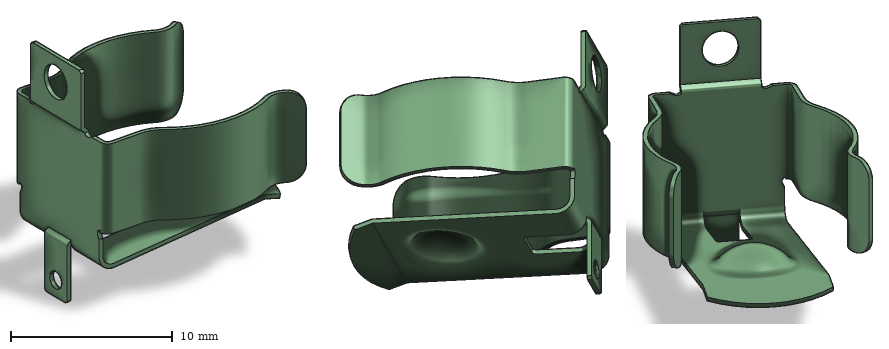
import cadquery as cq
import math


SHEET = 0.3
TINY = 1.68e-07

BAND_HEIGHT = 6.3
WALL_HALF_WIDTH = 4.1
SPRING_WIDTH = 8.0
SPRING_BEND_Z = -1.75

ARM_HALF_SPAN = 6.65
ARM_CORNER_RADIUS = 0.6
ARM_STRAIGHT = 2.18
ARM_FLARE_RADIUS = 2.22
ARM_GRIP_RADIUS = 7.07
ARM_MOUTH_RADIUS = 1.3
ARM_WAIST_ANGLE = 28.8
ARM_LIP_ANGLE = 30.0
ARM_LIP_LENGTH = 1.35
ARM_TIP_FILLET = 1.26

SPRING_BEND_RADIUS = 1.11
SPRING_RISE_ANGLE = 5.0
SPRING_LENGTH = 11.81
SPRING_LIP_BEND = 20.0
SPRING_LIP_LENGTH = 2.37
SPRING_TIP_SAGITTA = 1.18

DOME_Y = 9.45
DOME_RIM_RADIUS = 2.87
DOME_HEIGHT = 1.3
DOME_RIM_FILLET = 0.77

TAB_JOG_ANGLE = 45.0
TAB_CHAMFER = 0.17
TOP_TAB_WIDTH = 5.1
TOP_TAB_REACH = 4.4
TOP_TAB_HOLE = 2.32
TOP_TAB_HOLE_INSET = 1.8
SOLDER_TAB_WIDTH = 2.3
SOLDER_TAB_TIP_Z = -6.1
SOLDER_TAB_HOLE = 1.2
SOLDER_TAB_HOLE_INSET = 1.2

SLOT_END_Y = 4.08
SLOT_FILLET = 0.22

TOP_RELIEF_RADIUS = 0.3
TOP_RELIEF_OFFSET = 0.27
TOP_RELIEF_RUNOUT = 0.42
SIDE_RELIEF_RADIUS = 0.24
SIDE_RELIEF_OFFSET = 0.12
SIDE_RELIEF_RUNOUT = 0.42
RELIEF_DEPTH = 0.17


def straight(length):
    return ("straight", length, 0)


def bend(angle, radius):
    """Turn by angle degrees (left is positive); radius belongs to the sheet's right-hand face."""
    return ("bend", angle, radius)


def left_of(direction):
    return cq.Vector(-math.sin(direction), math.cos(direction))


def sheet_profile(plane, start, heading, runs):
    """Outline of a bent sheet whose right-hand face begins at start; the sheet lies to its left."""
    edges = []
    spot = cq.Vector(*start)
    turn = math.radians(heading)

    def add_edge(*points):
        if (points[-1] - points[0]).Length < TINY:
            return
        world = [plane.toWorldCoords(point) for point in points]
        make = cq.Edge.makeLine if len(world) == 2 else cq.Edge.makeThreePointArc
        edges.append(make(*world))

    add_edge(spot, spot + left_of(turn) * SHEET)
    for kind, amount, radius in runs:
        side = left_of(turn)
        if kind == "straight":
            step = cq.Vector(math.cos(turn), math.sin(turn)) * amount
            for offset in (0, SHEET):
                add_edge(spot + side * offset, spot + side * offset + step)
            spot = spot + step
        else:
            sweep = math.radians(amount)
            to_center = math.copysign(radius, sweep)
            center = spot + side * to_center
            for offset in (0, SHEET):
                arm = offset - to_center
                add_edge(*[center + left_of(turn + sweep * part) * arm for part in (0, 0.5, 1)])
            turn += sweep
            spot = center - left_of(turn) * to_center
    add_edge(spot, spot + left_of(turn) * SHEET)
    return cq.Workplane(plane).add(cq.Wire.assembleEdges(edges)).toPending()


def relief(edge_point, along, outward, radius, runout):
    """Round bend relief with a sloped run-out, through the wall.

    edge_point is beside the circle's center on the wall's edge, along points from there to the
    run-out, and outward leaves the wall.
    """
    edge_point = cq.Vector(*edge_point)
    along = cq.Vector(*along)
    outward = cq.Vector(*outward)
    rise = radius - RELIEF_DEPTH
    slope = math.asin(radius / math.hypot(runout, rise)) - math.atan2(rise, runout)
    center = edge_point + outward * rise
    tangent = center + along * (radius * math.sin(slope)) - outward * (radius * math.cos(slope))
    end = edge_point + along * runout
    plane = cq.Plane.XZ()
    circle = cq.Workplane(plane).center(center.x, center.y).circle(radius).extrude(-SHEET)
    slope_points = [(point.x, point.y) for point in (center, tangent, end)]
    return circle.union(cq.Workplane(plane).polyline(slope_points).close().extrude(-SHEET))


def make_wall():
    band = cq.Workplane("XY").box(2 * WALL_HALF_WIDTH, SHEET, BAND_HEIGHT, centered=(True, False, False))
    skirt = (
        cq.Workplane("XY", origin=(0, 0, SPRING_BEND_Z))
        .box(SPRING_WIDTH, SHEET, -SPRING_BEND_Z, centered=(True, False, False))
    )
    wall = band.union(skirt)
    for side in (-1, 1):
        top_x = side * (TOP_TAB_WIDTH / 2 + TOP_RELIEF_OFFSET)
        top_point = (top_x, BAND_HEIGHT)
        wall = wall.cut(relief(top_point, (side, 0), (0, 1), TOP_RELIEF_RADIUS, TOP_RELIEF_RUNOUT))
        side_point = (side * SPRING_WIDTH / 2, -SIDE_RELIEF_OFFSET)
        wall = wall.cut(relief(side_point, (0, -1), (side, 0), SIDE_RELIEF_RADIUS, SIDE_RELIEF_RUNOUT))
    return wall


def make_arm():
    """The +X arm, from the wall's corner bend to the flared lip."""
    swing = ARM_HALF_SPAN - WALL_HALF_WIDTH - ARM_CORNER_RADIUS
    flare_angle = math.degrees(math.acos(1 - swing / (ARM_FLARE_RADIUS + ARM_GRIP_RADIUS)))
    runs = [
        bend(90, ARM_CORNER_RADIUS),
        straight(ARM_STRAIGHT),
        bend(-flare_angle, ARM_FLARE_RADIUS),
        bend(flare_angle + ARM_WAIST_ANGLE, ARM_GRIP_RADIUS),
        bend(-ARM_WAIST_ANGLE - ARM_LIP_ANGLE, ARM_MOUTH_RADIUS),
        straight(ARM_LIP_LENGTH),
    ]
    arm = sheet_profile(cq.Plane.XY(), (WALL_HALF_WIDTH, 0), 0, runs).extrude(BAND_HEIGHT)
    return arm.faces(">Y").edges("#Z").fillet(ARM_TIP_FILLET)


def make_dome(origin, plane_normal):
    """Hollow stamped dome: a spherical cap blended into the spring's upper face."""
    cap_angle = 2 * math.atan(DOME_HEIGHT / DOME_RIM_RADIUS)
    cap_radius = DOME_RIM_RADIUS / math.sin(cap_angle) - DOME_RIM_FILLET
    runs = [
        bend(-math.degrees(cap_angle), cap_radius - SHEET),
        bend(math.degrees(cap_angle), DOME_RIM_FILLET + SHEET),
    ]
    plane = cq.Plane(origin, (1, 0, 0), plane_normal)
    profile = sheet_profile(plane, (0, DOME_HEIGHT - SHEET), 0, runs)
    return profile.revolve(360, (0, 0, 0), (0, 1, 0))


def make_spring():
    rise = math.radians(SPRING_RISE_ANGLE)
    lip_fall = math.radians(SPRING_LIP_BEND - SPRING_RISE_ANGLE)
    runs = [
        bend(90 + SPRING_RISE_ANGLE, SPRING_BEND_RADIUS),
        straight(SPRING_LENGTH),
        bend(-SPRING_LIP_BEND, 0),
        straight(SPRING_LIP_LENGTH),
    ]
    profile = sheet_profile(cq.Plane.YZ(), (0, SPRING_BEND_Z), -90, runs)
    spring = profile.extrude(SPRING_WIDTH / 2, both=True)

    bend_end_y = SPRING_BEND_RADIUS * (1 + math.sin(rise))
    bend_end_z = SPRING_BEND_Z - SPRING_BEND_RADIUS * math.cos(rise)
    tip_y = bend_end_y + SPRING_LENGTH * math.cos(rise) + SPRING_LIP_LENGTH * math.cos(lip_fall)
    tip_z = bend_end_z + SPRING_LENGTH * math.sin(rise) - SPRING_LIP_LENGTH * math.sin(lip_fall)

    tip_plane = cq.Plane((0, tip_y, tip_z), (1, 0, 0), (0, math.sin(lip_fall), math.cos(lip_fall)))
    half = SPRING_WIDTH / 2
    tip_waste = (
        cq.Workplane(tip_plane)
        .moveTo(-half, -SPRING_TIP_SAGITTA)
        .threePointArc((0, 0), (half, -SPRING_TIP_SAGITTA))
        .lineTo(half, SHEET)
        .lineTo(-half, SHEET)
        .close()
        .extrude(2 * SHEET, both=True)
    )
    spring = spring.cut(tip_waste)

    slot_depth = -bend_end_z
    slot = (
        cq.Workplane("XY", origin=(0, 0, -slot_depth - SHEET))
        .box(SOLDER_TAB_WIDTH, SLOT_END_Y, slot_depth, centered=(True, False, False))
        .faces(">Y").edges("|Z").fillet(SLOT_FILLET)
    )
    spring = spring.cut(slot)

    dome_z = bend_end_z + (DOME_Y - bend_end_y) * math.tan(rise) + SHEET / math.cos(rise)
    dome_origin = (0, DOME_Y, dome_z)
    face_plane = cq.Plane(dome_origin, (1, 0, 0), (0, -math.sin(rise), math.cos(rise)))
    disc = cq.Workplane(face_plane).circle(DOME_RIM_RADIUS).extrude(-SHEET)
    dome = make_dome(dome_origin, (0, -math.cos(rise), -math.sin(rise)))
    return spring.cut(disc).union(dome)


def make_tab(width, reach, hole_diameter, hole_inset):
    """Tab hanging down from z = 0, jogged outward by one sheet thickness."""
    jog_height = 2 * SHEET * math.sin(math.radians(TAB_JOG_ANGLE))
    runs = [
        bend(-TAB_JOG_ANGLE, 0),
        straight(SHEET),
        bend(TAB_JOG_ANGLE, SHEET),
        straight(reach - jog_height),
    ]
    tab = sheet_profile(cq.Plane.YZ(), (0, 0), -90, runs).extrude(width / 2, both=True)
    tab = tab.faces("<Z").edges("|Y").chamfer(TAB_CHAMFER)
    hole = (
        cq.Workplane("XZ")
        .center(0, hole_inset - reach)
        .circle(hole_diameter / 2)
        .extrude(SHEET)
    )
    return tab.cut(hole)


top_tab = (
    make_tab(TOP_TAB_WIDTH, TOP_TAB_REACH, TOP_TAB_HOLE, TOP_TAB_HOLE_INSET)
    .mirror("XY")
    .translate((0, 0, BAND_HEIGHT))
)
solder_tab_reach = SPRING_BEND_Z - SOLDER_TAB_TIP_Z
solder_tab = (
    make_tab(SOLDER_TAB_WIDTH, solder_tab_reach, SOLDER_TAB_HOLE, SOLDER_TAB_HOLE_INSET)
    .translate((0, 0, SPRING_BEND_Z))
)
arm = make_arm()

result = (
    make_wall()
    .union(arm)
    .union(arm.mirror("YZ"))
    .union(make_spring())
    .union(top_tab)
    .union(solder_tab)
)